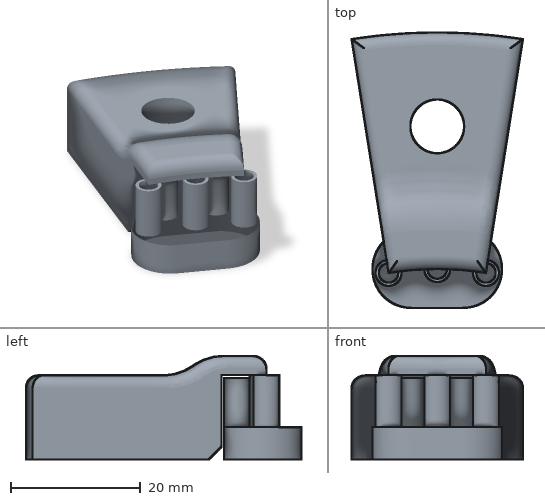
import math

import cadquery as cq

half_angle = 9.0
outer_radius = 84.5
tip_radius = 48.0
body_end_radius = 55.0
bottom_chamfer = 2.0

main_height = 13.0
lip_height = 16.0
lip_underside = 13.0
lip_flat_end_radius = 54.0
blend_radius = 8.0
edge_fillet = 2.0
rim_tolerance = 0.01

hole_diameter = 8.25
hole_center_y = 70.0

base_length = 20.0
base_width = 12.0
base_height = 5.0
base_center_y = tip_radius

tube_diameter = 4.0
tube_bore = 3.0
tube_angles = (-half_angle, 0.0, half_angle)

post_diameter = 4.0
post_top = 12.6
post_center_x = (base_length - base_width) / 2
post_center_y = base_center_y + (base_width - post_diameter) / 2


def wedge_profile():
    """Radial section of the wedge, with radius along Y and height along Z."""
    rise = lip_height - main_height
    blend_length = math.sqrt(4 * blend_radius * rise - rise**2)
    blend_middle = (lip_flat_end_radius + blend_length / 2, main_height + rise / 2)
    blend_end = (lip_flat_end_radius + blend_length, main_height)
    return (
        cq.Workplane("YZ")
        .moveTo(body_end_radius + bottom_chamfer, 0)
        .lineTo(body_end_radius, bottom_chamfer)
        .lineTo(body_end_radius, lip_underside)
        .lineTo(tip_radius, lip_underside)
        .lineTo(tip_radius, lip_height)
        .lineTo(lip_flat_end_radius, lip_height)
        .radiusArc(blend_middle, blend_radius)
        .radiusArc(blend_end, -blend_radius)
        .lineTo(outer_radius, main_height)
        .lineTo(outer_radius, 0)
        .close()
    )


def is_rim(edge):
    """True for the edges that run around the outside of the upper surface."""
    start = edge.startPoint()
    middle = edge.positionAt(0.5)
    end = edge.endPoint()
    above_main = all(point.z > main_height - rim_tolerance for point in (start, middle, end))
    middle_radius = math.hypot(middle.x, middle.y)
    on_side = start.x * end.x > 0
    on_back = middle_radius > outer_radius - rim_tolerance
    on_tip = middle_radius < tip_radius + rim_tolerance and middle.z > lip_height - rim_tolerance
    lip_bottom = middle_radius < body_end_radius and middle.z < lip_underside + rim_tolerance
    vertical = abs(start.x - end.x) < rim_tolerance
    return above_main and not lip_bottom and not vertical and (on_side or on_back or on_tip)


def make_wedge():
    """Ring sector with its whole upper rim rounded and a vertical through hole."""
    sector = (
        wedge_profile()
        .revolve(2 * half_angle, (0, 0, 0), (0, 1, 0))
        .rotate((0, 0, 0), (0, 0, 1), -half_angle)
    )
    rim = [e for e in sector.edges().vals() if is_rim(e)]
    rounded = sector.newObject(rim).fillet(edge_fillet)
    hole = (
        cq.Workplane("XY")
        .center(0, hole_center_y)
        .circle(hole_diameter / 2)
        .extrude(lip_height)
    )
    return rounded.cut(hole)


def make_base():
    """Plate with fully rounded ends."""
    return (
        cq.Workplane("XY")
        .center(0, base_center_y)
        .slot2D(base_length, base_width)
        .extrude(base_height)
    )


def make_tube(angle):
    """Tube under the lip tip, standing on the base at the given angle about Z."""
    return (
        cq.Workplane("XY", origin=(0, 0, base_height))
        .center(0, tip_radius)
        .circle(tube_diameter / 2)
        .circle(tube_bore / 2)
        .extrude(lip_underside - base_height)
        .rotate((0, 0, 0), (0, 0, 1), angle)
    )


def make_post(side):
    """Solid post on the base, just short of the lip."""
    return (
        cq.Workplane("XY", origin=(0, 0, base_height))
        .center(side * post_center_x, post_center_y)
        .circle(post_diameter / 2)
        .extrude(post_top - base_height)
    )


result = make_base()
for tube_angle in tube_angles:
    result = result.union(make_tube(tube_angle))
for post_side in (-1, 1):
    result = result.union(make_post(post_side))
result = result.union(make_wedge())